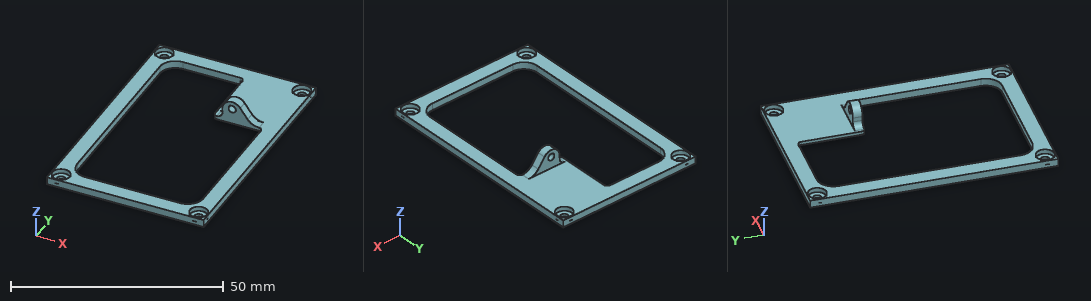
import cadquery as cq
import math

WIDTH = 41.0
LENGTH = 61.0
THICKNESS = 2.0
BORDER = 4.0
WINDOW_RADIUS = 4.0

TAB_LEFT = 24.1
TAB_FRONT = 40.25
TAB_RADIUS = 1.0
TAB_THICKNESS = 1.0

HOLE_INSET = 2.5
HOLE_DIAMETER = 2.0
COUNTERBORE_DIAMETER = 4.5
COUNTERBORE_DEPTH = 1.2

LUG_TOP = 7.2
LUG_THICKNESS = 2.4
LUG_CENTER_X = 29.05
LUG_HEAD_RADIUS = 2.55
LUG_LEFT_FOOT_RADIUS = 1.5
LUG_RIGHT_FOOT_RADIUS = 3.65
LUG_RIGHT = 36.0
LUG_HOLE_Z = 5.2
LUG_HOLE_DIAMETER = 1.9


def upright_edge(x, y):
    """Selector for the vertical edge nearest to a point in plan."""
    return cq.selectors.NearestToPointSelector((x, y, THICKNESS - TAB_THICKNESS / 2))


def make_window():
    """Rounded rectangular opening, stepped around the tab in its upper layer."""
    right = WIDTH - BORDER
    back = LENGTH - BORDER
    window = (
        cq.Workplane("XY", origin=(BORDER, BORDER, 0))
        .box(right - BORDER, back - BORDER, THICKNESS, centered=False)
        .edges("|Z")
        .fillet(WINDOW_RADIUS)
    )
    tab = (
        cq.Workplane("XY", origin=(TAB_LEFT, TAB_FRONT, THICKNESS - TAB_THICKNESS))
        .box(right - TAB_LEFT, back - TAB_FRONT, TAB_THICKNESS, centered=False)
    )
    window = window.cut(tab)
    for x, y in ((right, TAB_FRONT), (TAB_LEFT, TAB_FRONT), (TAB_LEFT, back)):
        window = window.edges("|Z").edges(upright_edge(x, y)).fillet(TAB_RADIUS)
    return window


def make_plate():
    """Frame with a counterbored hole in each corner."""
    plate = cq.Workplane("XY").box(WIDTH, LENGTH, THICKNESS, centered=False).cut(make_window())
    holes = [
        (x, y)
        for x in (HOLE_INSET, WIDTH - HOLE_INSET)
        for y in (HOLE_INSET, LENGTH - HOLE_INSET)
    ]
    return (
        plate.faces(">Z")
        .workplane(origin=(0, 0, THICKNESS))
        .pushPoints(holes)
        .cboreHole(HOLE_DIAMETER, COUNTERBORE_DIAMETER, COUNTERBORE_DEPTH)
    )


def make_lug():
    """Rounded ear whose two sides sweep into the plate with tangent arcs."""
    head_z = LUG_TOP - LUG_HEAD_RADIUS
    left_side = LUG_CENTER_X - LUG_HEAD_RADIUS
    left_foot_x = left_side - LUG_LEFT_FOOT_RADIUS
    left_foot_z = THICKNESS + LUG_LEFT_FOOT_RADIUS

    foot_z = THICKNESS + LUG_RIGHT_FOOT_RADIUS
    run = LUG_RIGHT - LUG_CENTER_X
    rise = foot_z - head_z
    radius_sum = LUG_HEAD_RADIUS + LUG_RIGHT_FOOT_RADIUS
    normal_angle = math.atan2(rise, run) + math.acos(radius_sum / math.hypot(run, rise))
    normal_x = math.cos(normal_angle)
    normal_z = math.sin(normal_angle)
    flank_top = (
        LUG_CENTER_X + LUG_HEAD_RADIUS * normal_x,
        head_z + LUG_HEAD_RADIUS * normal_z,
    )
    flank_bottom = (
        LUG_RIGHT - LUG_RIGHT_FOOT_RADIUS * normal_x,
        foot_z - LUG_RIGHT_FOOT_RADIUS * normal_z,
    )

    lug = (
        cq.Workplane("XZ", origin=(0, TAB_FRONT, 0))
        .moveTo(left_foot_x, THICKNESS)
        .radiusArc((left_side, left_foot_z), -LUG_LEFT_FOOT_RADIUS)
        .lineTo(left_side, head_z)
        .threePointArc((LUG_CENTER_X, LUG_TOP), flank_top)
        .lineTo(*flank_bottom)
        .radiusArc((LUG_RIGHT, THICKNESS), -LUG_RIGHT_FOOT_RADIUS)
        .close()
        .extrude(-LUG_THICKNESS)
    )
    pin_hole = (
        cq.Workplane("XZ", origin=(0, TAB_FRONT, 0))
        .center(LUG_CENTER_X, LUG_HOLE_Z)
        .circle(LUG_HOLE_DIAMETER / 2)
        .extrude(-LUG_THICKNESS)
    )
    return lug.cut(pin_hole)


result = make_plate().union(make_lug())